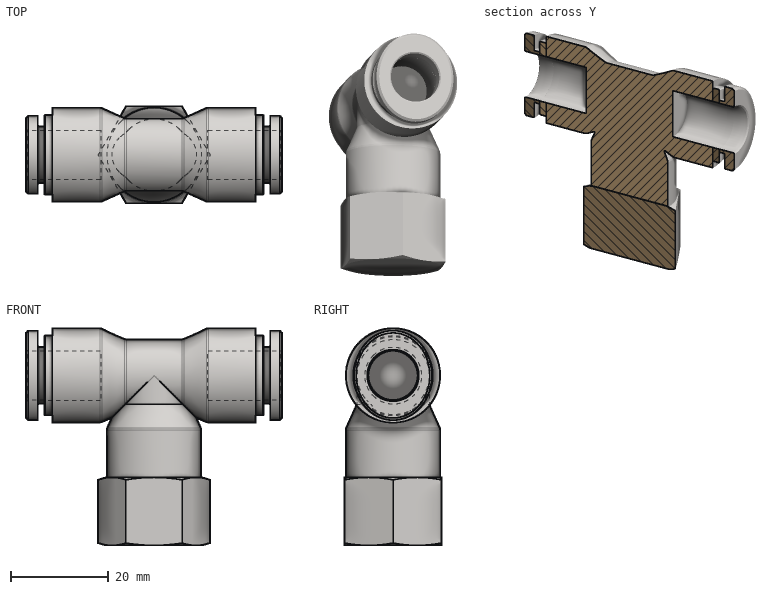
import cadquery as cq
import math

overall_length = 52.8
overall_height = 44.8
half_length = overall_length / 2

socket_dia = 19.5
waist_dia = 14.9
waist_half_length = 5.9
cone_length = 5.05
cone_fillet = 1.05

nut_across_flats = 20.0
nut_height = 14.0
nut_corner_drop = 0.5

flange_width = 16.1
flange_height = 18.5
flange_thickness = 2.5
flange_chamfer = 0.5
neck_dia = 11.7
sleeve_bore_dia = 10.15
neck_fillet = 0.2
mouth_chamfer = 0.25

collar_dia = 16.5
collar_bore_dia = 10.2
collar_chamfer = 0.2
collar_face = 3.75
socket_face = 5.45

collar_length = socket_face - collar_face
neck_length = collar_face - flange_thickness
socket_half_length = half_length - socket_face
shoulder = waist_half_length + cone_length
run_height = overall_height - socket_dia / 2
branch_length = run_height - nut_height
socket_depth = socket_half_length - shoulder

run_center = (0, 0, run_height)


def arm(length):
    """Round solid along +X from the crossing: waist, widening cone, thick socket."""
    outline = (
        cq.Workplane("XY")
        .lineTo(0, waist_dia / 2)
        .lineTo(waist_half_length, waist_dia / 2)
        .lineTo(shoulder, socket_dia / 2)
        .lineTo(length, socket_dia / 2)
        .lineTo(length, 0)
        .close()
    )
    return outline.revolve(360, (0, 0, 0), (1, 0, 0))


def edges_at(x):
    """Selector for the round edges of an arm at distance x from the crossing."""
    margin = 0.05
    reach = socket_dia
    return cq.selectors.BoxSelector((x - margin, -reach, -reach), (x + margin, reach, reach))


def make_tee():
    """Three arms in one solid, with a blind socket in each end of the run."""
    run_arm = arm(socket_half_length)
    run_arm = run_arm.edges(edges_at(waist_half_length)).fillet(cone_fillet)
    run_arm = run_arm.edges(edges_at(shoulder)).fillet(cone_fillet)
    run_arm = run_arm.faces(">X").workplane().hole(collar_bore_dia, socket_depth)
    branch = arm(branch_length).edges(edges_at(shoulder)).fillet(cone_fillet)
    opposite_arm = run_arm.mirror("YZ")
    branch = branch.rotate((0, 0, 0), (0, 1, 0), 90)
    return run_arm.union(opposite_arm).union(branch).translate(run_center)


def make_nut():
    """Hexagon with two flats square to Y, bevelled by a cone at both ends."""
    corner_radius = nut_across_flats / math.sqrt(3)
    flat_radius = nut_across_flats / 2
    hexagon = cq.Workplane("XY").polygon(6, 2 * corner_radius).extrude(nut_height)
    envelope = (
        cq.Workplane("XZ")
        .lineTo(flat_radius, 0)
        .lineTo(corner_radius, nut_corner_drop)
        .lineTo(corner_radius, nut_height - nut_corner_drop)
        .lineTo(flat_radius, nut_height)
        .lineTo(0, nut_height)
        .close()
        .revolve(360, (0, 0, 0), (0, 1, 0))
    )
    return hexagon.intersect(envelope)


def make_collar():
    """Ring for the +X end, chamfered on its outer rim, seated on the socket face."""
    disc = cq.Workplane("YZ").circle(collar_dia / 2).extrude(collar_length)
    disc = disc.faces(">X").edges().chamfer(collar_chamfer)
    ring = disc.faces(">X").workplane().hole(collar_bore_dia)
    return ring.translate((socket_half_length, 0, run_height))


def make_sleeve():
    """Oval flange on a round neck for the +X end, bored through."""
    neck = cq.Workplane("YZ").circle(neck_dia / 2).extrude(neck_length)
    flange = (
        cq.Workplane("YZ", origin=(neck_length, 0, 0))
        .ellipse(flange_width / 2, flange_height / 2)
        .extrude(flange_thickness)
        .faces(">X")
        .edges()
        .chamfer(flange_chamfer)
    )
    sleeve = neck.union(flange).edges("%CIRCLE").edges(">X").fillet(neck_fillet)
    sleeve = sleeve.faces(">X").workplane().hole(sleeve_bore_dia)
    sleeve = sleeve.faces(">X").edges("%CIRCLE").chamfer(mouth_chamfer)
    return sleeve.translate((half_length - collar_face, 0, run_height))


def at_both_ends(make_body):
    """One copy of a body at the +X end and one turned round to the -X end."""
    copies = []
    for angle in (0, 180):
        body = make_body().rotate((0, 0, 0), (0, 0, 1), angle)
        copies.append(body.val())
    return copies


tee = make_tee()
nut = make_nut()
collars = at_both_ends(make_collar)
sleeves = at_both_ends(make_sleeve)

result = cq.Compound.makeCompound([tee.val(), nut.val(), *collars, *sleeves])